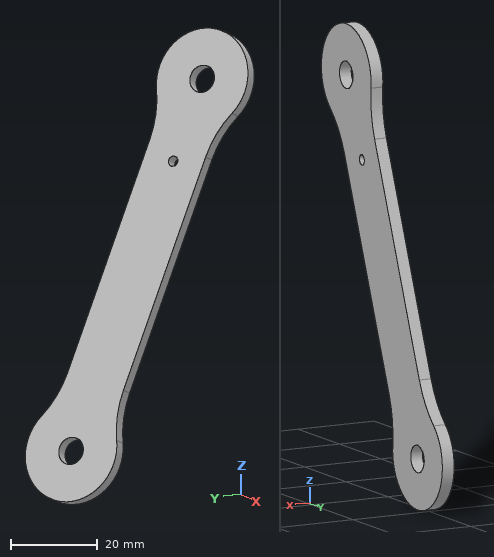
import cadquery as cq
import math

thickness = 3.1
width = 58.4
height = 108.3
eye_radius = 12.0
bar_half_width = 7.9
blend_radius = 25.0
pivot_hole_diameter = 6.4
small_hole_diameter = 2.4
small_hole_spacing = 20.1

pivot_rise = height - 2 * eye_radius
pivot_shift = width - 2 * eye_radius
half_length = math.hypot(pivot_rise, pivot_shift) / 2
lean_angle = math.degrees(math.atan2(pivot_shift, pivot_rise))

blend_center_x = bar_half_width + blend_radius
center_distance = eye_radius + blend_radius
blend_reach = math.sqrt(center_distance**2 - blend_center_x**2)
bar_half_length = half_length - blend_reach
eye_tangent_x = blend_center_x * eye_radius / center_distance
eye_tangent_y = half_length - blend_reach * eye_radius / center_distance

blend_mid_angle = math.atan2(blend_reach, blend_center_x) / 2
blend_mid_x = blend_center_x - blend_radius * math.cos(blend_mid_angle)
blend_mid_y = bar_half_length + blend_radius * math.sin(blend_mid_angle)


def link_blank():
    """Plate with two round ends, drawn upright with its center at the origin."""
    return (
        cq.Workplane("YZ")
        .workplane(offset=-thickness / 2)
        .moveTo(bar_half_width, -bar_half_length)
        .lineTo(bar_half_width, bar_half_length)
        .threePointArc((blend_mid_x, blend_mid_y), (eye_tangent_x, eye_tangent_y))
        .threePointArc((0, half_length + eye_radius), (-eye_tangent_x, eye_tangent_y))
        .threePointArc((-blend_mid_x, blend_mid_y), (-bar_half_width, bar_half_length))
        .lineTo(-bar_half_width, -bar_half_length)
        .threePointArc((-blend_mid_x, -blend_mid_y), (-eye_tangent_x, -eye_tangent_y))
        .threePointArc((0, -half_length - eye_radius), (eye_tangent_x, -eye_tangent_y))
        .threePointArc((blend_mid_x, -blend_mid_y), (bar_half_width, -bar_half_length))
        .close()
        .extrude(thickness)
    )


def through_hole(diameter, along):
    """Cutter through the plate on the bar's center line."""
    return (
        cq.Workplane("YZ")
        .center(0, along)
        .circle(diameter / 2)
        .extrude(thickness, both=True)
    )


link = link_blank()
for pivot_position in (half_length, -half_length):
    link = link.cut(through_hole(pivot_hole_diameter, pivot_position))
link = link.cut(through_hole(small_hole_diameter, half_length - small_hole_spacing))

result = link.rotate((0, 0, 0), (1, 0, 0), lean_angle)